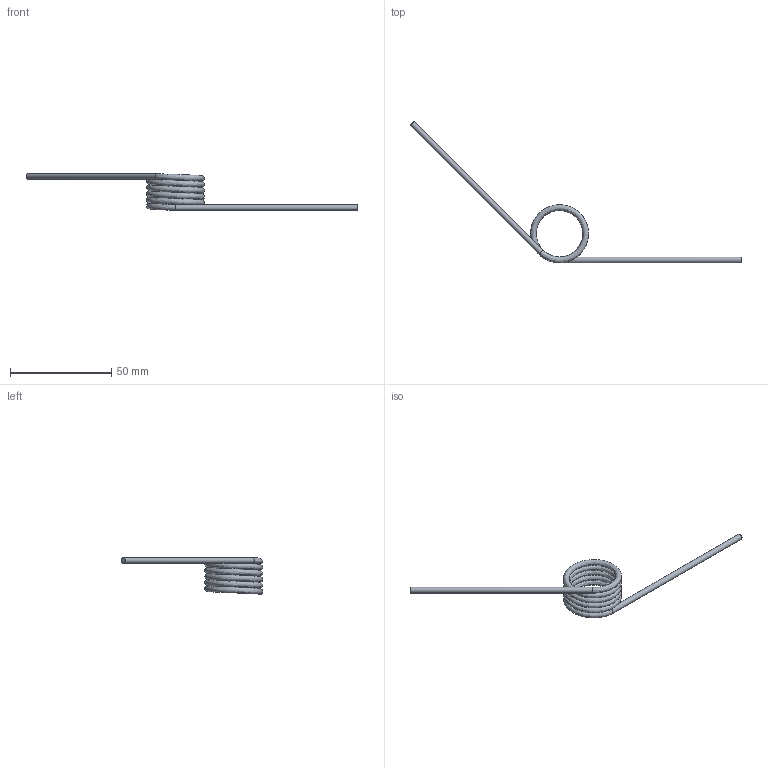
import cadquery as cq
import math

wire_diameter = 2.8
coil_inner_diameter = 23.0
pitch = 3.0
full_turns = 5
leg_angle = 45.0
leg_length = 90.0

wire_radius = wire_diameter / 2
mean_radius = (coil_inner_diameter + wire_diameter) / 2
turns = full_turns + leg_angle / 360
coil_rise = turns * pitch

start_angle = -90.0
end_angle = start_angle - leg_angle


def coil_end(angle, height):
    """Centre of the wire on the coil at the given polar angle and height."""
    a = math.radians(angle)
    return cq.Vector(mean_radius * math.cos(a), mean_radius * math.sin(a), height)


def winding_direction(angle):
    """Horizontal direction in which the clockwise coil runs at the given angle."""
    a = math.radians(angle)
    return cq.Vector(math.sin(a), -math.cos(a), 0)


def make_leg(origin, direction):
    """Straight round wire from origin along direction."""
    return cq.Workplane(cq.Solid.makeCylinder(wire_radius, leg_length, origin, direction))


def make_coil():
    """Left-hand helix of wire, its end faces vertical so they match the legs."""
    helix = cq.Wire.makeHelix(pitch, coil_rise, mean_radius, lefthand=True)
    path = cq.Workplane(helix.rotate(cq.Vector(0, 0, 0), cq.Vector(0, 0, 1), start_angle))
    section_plane = cq.Plane(
        origin=coil_end(start_angle, 0),
        xDir=(0, 1, 0),
        normal=winding_direction(start_angle),
    )
    return cq.Workplane(section_plane).circle(wire_radius).sweep(path, isFrenet=True)


lower_leg = make_leg(coil_end(start_angle, 0), -winding_direction(start_angle))
upper_leg = make_leg(coil_end(end_angle, coil_rise), winding_direction(end_angle))

result = make_coil().union(lower_leg).union(upper_leg)